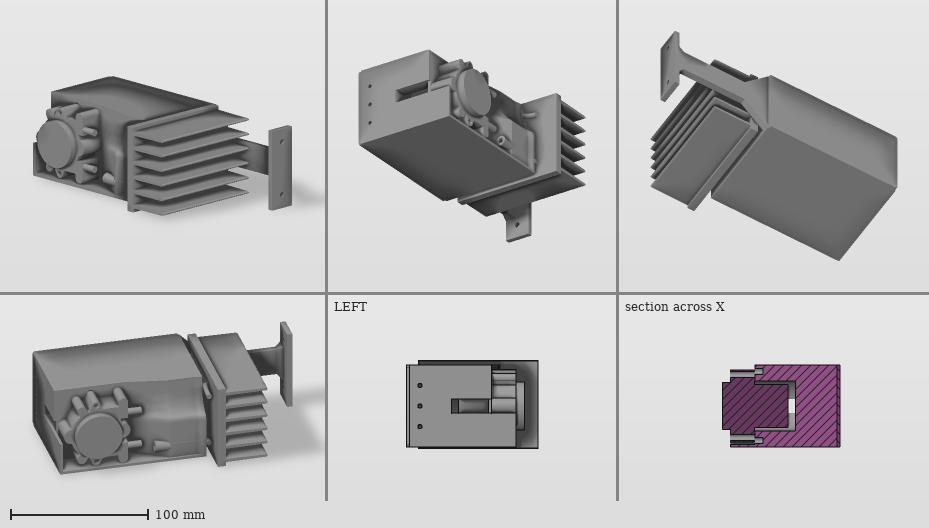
import cadquery as cq
import math


housing_length = 110.0
housing_half_height = 30.0
housing_back = 77.7
panel_front = 17.9
panel_thickness = 2.3
wall = 2.0
rim_inside = housing_half_height - wall

nose_start = 52.8
nose_flat_start = 83.8
nose_flat_end = 103.7
nose_rim_start = 107.7
nose_flat_top = 12.7
nose_flat_bottom = 1.7
nose_rim_top = 11.8
crease_start = -1.5
crease_end = 0.2
hollow_bend = (0.59, 0.23)
hollow_lip = (0.82, 0.7)

pump_x = 28.0
pump_body_radius = 20.0
cap_diameter = 35.0
cap_height = 6.0
motor_diameter = 32.0
motor_back = 42.0
lug_radius = 3.5
lug_centre_radius = 23.2
lug_angle = 119.5
ear_right = 51.1
ear_top = 26.6
ear_bottom = 10.0
side_lobe_radius = 5.9
side_lobe_offset = 19.0
screw_x = pump_x - 0.5
screw_diameter = 4.0
screw_z = 23.0
screw_lug_foot = 5.0
screw_lug_head = 2.7
screw_lug_head_z = 24.9
screw_lug_top = 26.5
port_diameter = 5.0
port_end = 61.5
port_y = 2.7
port_z = 13.9

motor_bore_diameter = 36.0
motor_bore_back = 47.1
slot_half_height = 5.1
panel_screw_z = 25.3
panel_screw_depth = 5.7
side_hole_diameter = 3.0
side_hole_y = 70.1
side_hole_pitch = 15.0
side_hole_depth = 5.7

pipe_diameter = 5.5
pipe_y = 4.4
pipe_z = -17.5
barb_start = 72.0
barb_length = 10.5
barb_y = 4.0
barb_z = -18.2
barb_tip_diameter = 8.0
barb_root_diameter = 6.8
barb_tilt = 5.0
barb_stub_length = 1.3
barb_bore_diameter = 4.0

total_length = 190.0
arm_thickness = 5.0
arm_half_height = 10.0
plate_thickness = 4.0
plate_depth = 20.0
gusset = 4.0
plate_hole_diameter = 4.0
plate_hole_z = 20.0

lid_thickness = 2.3
lid_corner_radius = 1.9

sink_start = 114.5
sink_base_end = 120.5
sink_end = 152.0
sink_front = -16.2
sink_back = 71.0
sink_height = 64.0
sink_mid_z = 1.1
fin_count = 6
fin_pitch = 11.0
fin_root_thickness = 2.5
fin_tip_thickness = 1.9
fin_chamfer_length = 1.1
fin_chamfer_height = 0.5

cooler_size = 50.5
cooler_mid_x = (housing_length + sink_start) / 2
cooler_front = 10.8
cooler_groove_radius = 2.3
wire_diameter = 3.8
wire_z_start = 22.5
wire_z_end = 19.2
wire_start_slope = 0.6


def box(x0, x1, y0, y1, z0, z1):
    """Box between two corners."""
    return cq.Workplane("XY").box(x1 - x0, y1 - y0, z1 - z0, centered=False).translate((x0, y0, z0))


def cylinder_y(diameter, x, z, y0, y1):
    """Cylinder along Y from y0 to y1."""
    axis = cq.Vector(0, 1, 0)
    return cq.Workplane(cq.Solid.makeCylinder(diameter / 2, y1 - y0, cq.Vector(x, y0, z), axis))


def cylinder_x(diameter, y, z, x0, x1):
    """Cylinder along X from x0 to x1."""
    axis = cq.Vector(1, 0, 0)
    return cq.Workplane(cq.Solid.makeCylinder(diameter / 2, x1 - x0, cq.Vector(x0, y, z), axis))


def nose_section(x, top_y, bottom_y, crease_z):
    """Cross-section of the nose: upper rim, concave hollow down to the crease, flat lower face."""
    back = panel_front + panel_thickness
    depth = top_y - bottom_y
    height = rim_inside - crease_z
    profile = [
        (top_y - depth * depth_share, rim_inside - height * height_share)
        for height_share, depth_share in (hollow_bend, hollow_lip)
    ]
    profile.append((bottom_y, crease_z))
    return (
        cq.Workplane("YZ", origin=(x, 0, 0))
        .moveTo(back, housing_half_height)
        .lineTo(top_y, housing_half_height)
        .lineTo(top_y, rim_inside)
        .spline(profile, tangents=[(0, -1), (0, -1)], includeCurrent=True)
        .lineTo(bottom_y, -housing_half_height)
        .lineTo(back, -housing_half_height)
        .close()
        .wires()
        .val()
    )


def nose():
    sections = [
        nose_section(nose_start, panel_front, panel_front, crease_start),
        nose_section(nose_flat_start, nose_flat_top, nose_flat_bottom, crease_end),
        nose_section(nose_flat_end, nose_flat_top, nose_flat_bottom, crease_end),
        nose_section(nose_rim_start, nose_rim_top, 0, crease_end),
        nose_section(housing_length, nose_rim_top, 0, crease_end),
    ]
    return cq.Workplane(cq.Solid.makeLoft(sections, True))


def bracket():
    """Arm that tapers from the full housing height, with an end plate on a gusset."""
    taper = housing_half_height - arm_half_height
    plate_start = total_length - plate_thickness
    gusset_start = plate_start - gusset
    front = housing_back - arm_thickness
    outline = [
        (housing_length, housing_half_height),
        (housing_length + taper, arm_half_height),
        (plate_start, arm_half_height),
        (plate_start, -arm_half_height),
        (housing_length + taper, -arm_half_height),
        (housing_length, -housing_half_height),
    ]
    arm = cq.Workplane("XZ", origin=(0, housing_back, 0)).polyline(outline).close().extrude(arm_thickness)
    plate = box(
        plate_start, total_length, housing_back - plate_depth, housing_back,
        -housing_half_height, housing_half_height,
    )
    for z in (-plate_hole_z, plate_hole_z):
        hole_y = housing_back - plate_depth / 2
        plate = plate.cut(cylinder_x(plate_hole_diameter, hole_y, z, plate_start, total_length))
    gusset_wires = [
        cq.Wire.makePolygon(
            [
                cq.Vector(x, front - growth, -arm_half_height - growth),
                cq.Vector(x, housing_back, -arm_half_height - growth),
                cq.Vector(x, housing_back, arm_half_height + growth),
                cq.Vector(x, front - growth, arm_half_height + growth),
            ],
            close=True,
        )
        for x, growth in ((gusset_start, 0), (plate_start, gusset))
    ]
    return arm.union(plate).union(cq.Workplane(cq.Solid.makeLoft(gusset_wires, True)))


def hose_barb():
    """Tapered hose barb with a stub that leads into the nose."""
    tilt = math.radians(barb_tilt)
    axis = cq.Vector(math.cos(tilt), 0, -math.sin(tilt))
    tip = cq.Vector(barb_start, barb_y, barb_z)
    cone = cq.Solid.makeCone(barb_tip_diameter / 2, barb_root_diameter / 2, barb_length, tip, axis)
    stub = cq.Solid.makeCylinder(pipe_diameter / 2, barb_length + barb_stub_length, tip, axis)
    bore = cq.Solid.makeCylinder(barb_bore_diameter / 2, barb_length, tip, axis)
    return cq.Workplane(cone.fuse(stub)), cq.Workplane(bore)


def side_hole(z):
    """Blind hole in the left side with a conical bottom."""
    radius = side_hole_diameter / 2
    bottom = cq.Vector(side_hole_depth, side_hole_y, z)
    point = cq.Solid.makeCone(radius, 0, radius, bottom, cq.Vector(1, 0, 0))
    return cylinder_x(side_hole_diameter, side_hole_y, z, 0, side_hole_depth).union(cq.Workplane(point))


def make_housing():
    half = housing_half_height
    body = box(0, housing_length, panel_front, housing_back, -half, half)
    body = body.union(nose())
    body = body.union(box(0, housing_length, 0, panel_front, -half, -rim_inside))
    body = body.union(box(0, wall, 0, panel_front, -half, -slot_half_height))
    body = body.union(bracket())
    barb, barb_bore = hose_barb()
    feed_pipe = cylinder_x(pipe_diameter, pipe_y, pipe_z, nose_flat_start, nose_rim_start)
    body = body.union(barb).union(feed_pipe).cut(barb_bore)

    body = body.cut(cylinder_y(motor_bore_diameter, pump_x, 0, panel_front, motor_bore_back))
    slot = box(
        0, pump_x, panel_front + panel_thickness, motor_bore_back, -slot_half_height, slot_half_height
    )
    slot_mouth = box(
        0, wall, panel_front, panel_front + panel_thickness, -slot_half_height, slot_half_height
    )
    body = body.cut(slot).cut(slot_mouth)
    for z in (-panel_screw_z, panel_screw_z):
        screw = cylinder_y(screw_diameter, screw_x, z, panel_front, panel_front + panel_screw_depth)
        body = body.cut(screw)
    for step in (-1, 0, 1):
        body = body.cut(side_hole(step * side_hole_pitch))
    return body


def make_lid():
    half = housing_half_height
    lid = box(0, housing_length, housing_back, housing_back + lid_thickness, -half, half)
    return lid.edges("|Y").fillet(lid_corner_radius)


def corner_lug(side):
    """Round-ended lug that points away from the pump axis."""
    lug = box(pump_x, pump_x + lug_centre_radius, 0, panel_front, -lug_radius, lug_radius)
    lug = lug.union(cylinder_y(2 * lug_radius, pump_x + lug_centre_radius, 0, 0, panel_front))
    return lug.rotate((pump_x, 0, 0), (pump_x, 1, 0), -side * lug_angle)


def screw_lug(side):
    """Lug with a screw hole, wider towards the pump body."""
    foot_z = side * pump_body_radius
    head_z = side * screw_lug_head_z
    outline = (
        cq.Workplane("XZ")
        .moveTo(screw_x, 0)
        .lineTo(screw_x - screw_lug_foot, foot_z)
        .lineTo(screw_x - screw_lug_head, head_z)
        .threePointArc((screw_x, side * screw_lug_top), (screw_x + screw_lug_head, head_z))
        .lineTo(screw_x + screw_lug_foot, foot_z)
        .close()
    )
    return outline.extrude(-panel_front)


def port_ear(side):
    """Square block with a round-ended ear and a hose port towards +X."""
    ear_left = ear_right - 2 * lug_radius
    ear_centre_z = side * (ear_top - lug_radius)
    block_z = sorted((side * ear_bottom, side * pump_body_radius))
    ear_z = sorted((side * ear_bottom, ear_centre_z))
    ear = box(pump_x, ear_right, 0, panel_front, *block_z)
    ear = ear.union(box(ear_left, ear_right, 0, panel_front, *ear_z))
    ear = ear.union(cylinder_y(2 * lug_radius, ear_left + lug_radius, ear_centre_z, 0, panel_front))
    return ear.union(cylinder_x(port_diameter, port_y, side * port_z, ear_left, port_end))


def make_pump():
    pump = cylinder_y(2 * pump_body_radius, pump_x, 0, 0, panel_front)
    pump = pump.union(cylinder_y(cap_diameter, pump_x, 0, -cap_height, 0))
    pump = pump.union(cylinder_y(motor_diameter, pump_x, 0, panel_front, motor_back))
    for side in (-1, 1):
        lobe_x = pump_x + side * side_lobe_offset
        pump = pump.union(cylinder_y(2 * side_lobe_radius, lobe_x, 0, 0, panel_front))
        pump = pump.union(corner_lug(side)).union(screw_lug(side)).union(port_ear(side))
        pump = pump.cut(cylinder_y(screw_diameter, screw_x, side * screw_z, 0, panel_front))
    return pump


def fin(z):
    """Tapered fin with a chamfered tip."""
    root = fin_root_thickness / 2
    tip = fin_tip_thickness / 2
    end = tip - fin_chamfer_height
    outline = [
        (sink_base_end, z - root),
        (sink_end - fin_chamfer_length, z - tip),
        (sink_end, z - end),
        (sink_end, z + end),
        (sink_end - fin_chamfer_length, z + tip),
        (sink_base_end, z + root),
    ]
    profile = cq.Workplane("XZ", origin=(0, sink_back, 0)).polyline(outline).close()
    return profile.extrude(sink_back - sink_front)


def make_heat_sink():
    bottom = sink_mid_z - sink_height / 2
    sink = box(sink_start, sink_base_end, sink_front, sink_back, bottom, bottom + sink_height)
    for index in range(fin_count):
        sink = sink.union(fin(sink_mid_z + (index - (fin_count - 1) / 2) * fin_pitch))
    return sink


def cooler_wire(side):
    """Wire that leaves the front of the cooling element and bends towards its middle."""
    path = (
        cq.Workplane("YZ", origin=(cooler_mid_x, 0, 0))
        .moveTo(0, side * wire_z_end)
        .spline(
            [(cooler_front + cooler_groove_radius, side * wire_z_start)],
            tangents=[(1, 0), (1, side * wire_start_slope)],
            includeCurrent=True,
        )
    )
    end_plane = cq.Workplane("XZ", origin=(cooler_mid_x, 0, side * wire_z_end))
    return end_plane.circle(wire_diameter / 2).sweep(path)


def make_cooler():
    half = cooler_size / 2
    back = cooler_front + cooler_size
    cooler = box(housing_length, sink_start, cooler_front, back, -half, half)
    groove = 2 * cooler_groove_radius
    for z in (-half, half):
        cooler = cooler.cut(cylinder_y(groove, cooler_mid_x, z, cooler_front, back))
    for y in (cooler_front, back):
        cut = cq.Solid.makeCylinder(cooler_groove_radius, cooler_size, cq.Vector(cooler_mid_x, y, -half))
        cooler = cooler.cut(cq.Workplane(cut))
    for side in (-1, 1):
        cooler = cooler.union(cooler_wire(side))
    return cooler


housing = make_housing()
lid = make_lid()
pump = make_pump()
heat_sink = make_heat_sink()
cooler = make_cooler()

result = cq.Compound.makeCompound(
    [housing.val(), lid.val(), pump.val(), heat_sink.val(), cooler.val()]
)